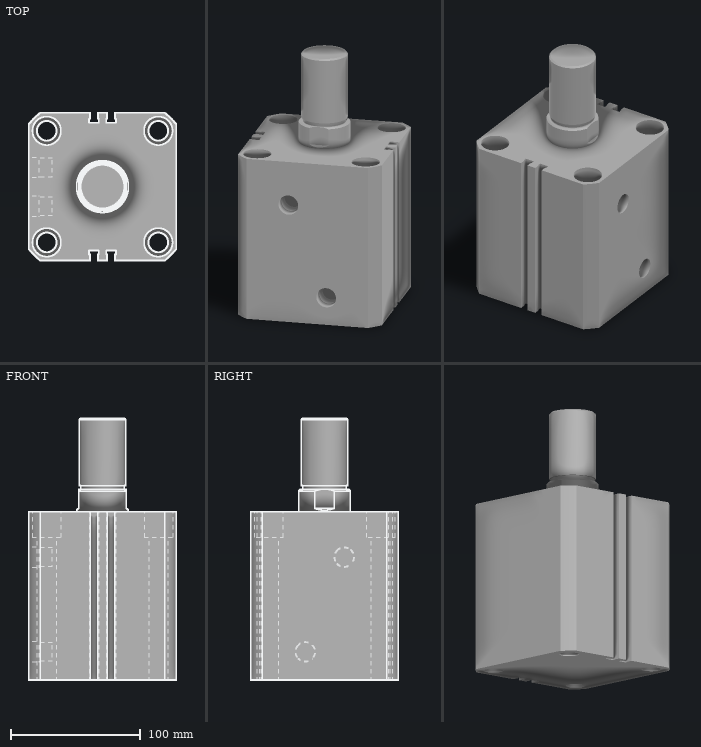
import cadquery as cq

housing_width = 114.0
housing_height = 130.0
corner_diameter = 149.2

bolt_spacing = 86.0
bolt_hole_diameter = 15.0
counterbore_diameter = 22.0
counterbore_depth = 20.0

slot_spacing = 13.2
slot_neck_width = 6.0
slot_head_width = 7.4
slot_depth = 7.7
slot_neck_depth = 4.7

port_offset = 15.0
upper_port_height = 95.0
lower_port_height = 22.0
port_diameter = 15.6
port_depth = 8.0
port_bore_diameter = 14.5
port_bore_depth = 18.0

rod_length = 72.0
collar_diameter = 40.0
collar_height = 17.0
collar_chamfer = 1.2
thread_diameter = 36.0
thread_chamfer = 1.2
thread_start = 20.0
undercut_diameter = thread_diameter - 2 * thread_chamfer
flats_width = 37.0
flats_start = 2.5


def make_slot(x_center, side):
    """T-slot cutter over the full height; side is -1 for the -Y face, +1 for +Y."""
    face_y = side * housing_width / 2
    neck = cq.Workplane("XY").box(
        slot_neck_width, 2 * slot_depth, housing_height, centered=(True, True, False)
    )
    head_length = slot_depth - slot_neck_depth
    head_y = face_y - side * (slot_neck_depth + head_length / 2)
    head = cq.Workplane("XY").box(
        slot_head_width, head_length, housing_height, centered=(True, True, False)
    )
    return neck.translate((x_center, face_y, 0)).union(head.translate((x_center, head_y, 0)))


def make_port(y, z):
    """Stepped blind-hole cutter running inward from the -X face."""
    mouth = cq.Vector(-housing_width / 2, y, z)
    inward = cq.Vector(1, 0, 0)
    entry = cq.Solid.makeCylinder(port_diameter / 2, port_depth, mouth, inward)
    bore = cq.Solid.makeCylinder(port_bore_diameter / 2, port_bore_depth, mouth, inward)
    return cq.Workplane(entry).union(cq.Workplane(bore))


def make_housing():
    block = cq.Workplane("XY").box(
        housing_width, housing_width, housing_height, centered=(True, True, False)
    )
    corner_trim = cq.Workplane("XY").circle(corner_diameter / 2).extrude(housing_height)
    housing = block.intersect(corner_trim)

    housing = (
        housing.faces(">Z")
        .workplane(origin=(0, 0, housing_height))
        .rect(bolt_spacing, bolt_spacing, forConstruction=True)
        .vertices()
        .cboreHole(bolt_hole_diameter, counterbore_diameter, counterbore_depth)
    )

    for side in (-1, 1):
        for x_center in (-slot_spacing / 2, slot_spacing / 2):
            housing = housing.cut(make_slot(x_center, side))

    housing = housing.cut(make_port(port_offset, upper_port_height))
    return housing.cut(make_port(-port_offset, lower_port_height))


def make_flat_cutter():
    """Cutter for the +X wrench flat, with a 45 degree run-out at its lower end."""
    flat_x = flats_width / 2
    runout = collar_diameter / 2 - flat_x
    return (
        cq.Workplane("XZ")
        .moveTo(flat_x, collar_height)
        .lineTo(flat_x, flats_start)
        .lineTo(flat_x + runout, flats_start - runout)
        .lineTo(flat_x + runout, collar_height)
        .close()
        .extrude(collar_diameter / 2, both=True)
    )


def make_rod():
    collar_radius = collar_diameter / 2
    thread_radius = thread_diameter / 2
    undercut_radius = undercut_diameter / 2
    rod = (
        cq.Workplane("XZ")
        .moveTo(0, 0)
        .lineTo(collar_radius, 0)
        .lineTo(collar_radius, collar_height - collar_chamfer)
        .lineTo(collar_radius - collar_chamfer, collar_height)
        .lineTo(undercut_radius, collar_height)
        .lineTo(undercut_radius, thread_start)
        .lineTo(thread_radius, thread_start)
        .lineTo(thread_radius, rod_length - thread_chamfer)
        .lineTo(thread_radius - thread_chamfer, rod_length)
        .lineTo(0, rod_length)
        .close()
        .revolve(360, (0, 0, 0), (0, 1, 0))
    )
    flat_cutter = make_flat_cutter()
    rod = rod.cut(flat_cutter).cut(flat_cutter.mirror("YZ"))
    return rod.translate((0, 0, housing_height))


housing = make_housing()
rod = make_rod()
result = cq.Compound.makeCompound([housing.solids().val(), rod.solids().val()])